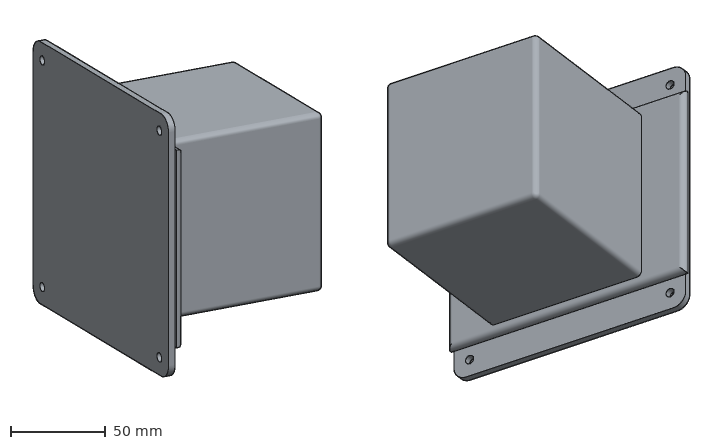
import cadquery as cq

plate_side = 147.0
plate_thickness = 4.0
plate_corner_radius = 8.0
hole_diameter = 5.0
hole_spacing = 127.0

flange_width = 150.0
flange_height = 110.8
flange_thickness = 3.9
flange_fillet = 3.0

total_depth = 108.0
box_width = 96.0
box_height = 100.0
box_fillet = 3.0
box_depth = total_depth - plate_thickness - flange_thickness


def block(width, depth, height, front_y):
    """Block centred in X and Z that runs back from front_y."""
    return cq.Workplane("XY").box(width, depth, height).translate((0, front_y + depth / 2, 0))


def make_plate():
    plate = block(plate_side, plate_thickness, plate_side, 0)
    plate = plate.edges("|Y").fillet(plate_corner_radius)
    holes = (
        cq.Workplane("XZ")
        .rect(hole_spacing, hole_spacing, forConstruction=True)
        .vertices()
        .circle(hole_diameter / 2)
        .extrude(-plate_thickness)
    )
    return plate.cut(holes)


def make_flange():
    flange = block(flange_width, flange_thickness, flange_height, plate_thickness)
    return flange.faces(">Y").edges().fillet(flange_fillet)


def make_box():
    box = block(box_width, box_depth, box_height, plate_thickness + flange_thickness)
    return box.edges("|Y or >Y").fillet(box_fillet)


result = make_plate().union(make_flange()).union(make_box())